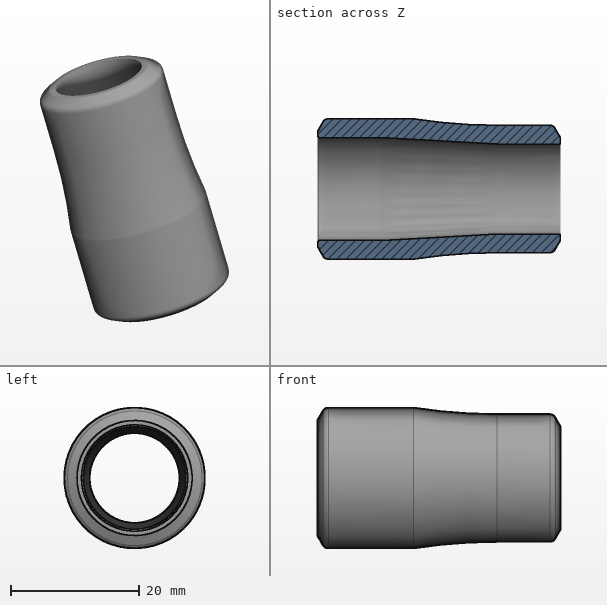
import cadquery as cq
import math

length = 38.0
large_radius = 22.0 / 2
small_radius = 20.0 / 2
large_bore_radius = 16.0 / 2
small_bore_radius = 14.0 / 2
neck_start = 15.0
neck_end = 28.0
bore_depth = 10.0
bore_taper_start = bore_depth
bore_taper_end = length - bore_depth
mouth_chamfer = 0.3
end_face_inset = 2.0
bevel_angle = math.radians(60)
edge_radius = 1.0

neck_length = neck_end - neck_start
neck_drop = large_radius - small_radius
neck_radius = (neck_length**2 + neck_drop**2) / (2 * neck_drop)
neck_half_angle = math.asin(neck_length / neck_radius) / 2
neck_middle = (
    neck_end - neck_radius * math.sin(neck_half_angle),
    small_radius + neck_radius * (1 - math.cos(neck_half_angle)),
)


def rounded_bevel(radius):
    """Return (distance from end, radius) points from the end face to the cylinder."""
    def on_rounding(angle):
        return radius - edge_radius * (1 - math.cos(angle))

    bevel_height = on_rounding(bevel_angle) - (radius - end_face_inset)
    bevel_length = bevel_height / math.tan(bevel_angle)
    rounding_end = bevel_length + edge_radius * math.sin(bevel_angle)
    half_angle = bevel_angle / 2
    return [
        (0, radius - end_face_inset),
        (bevel_length, on_rounding(bevel_angle)),
        (rounding_end - edge_radius * math.sin(half_angle), on_rounding(half_angle)),
        (rounding_end, radius),
    ]


left_face, left_bevel, left_middle, left_cylinder = rounded_bevel(large_radius)
right_face, right_bevel, right_middle, right_cylinder = [
    (length - distance, radius) for distance, radius in rounded_bevel(small_radius)
]

wall_section = (
    cq.Workplane("XY")
    .moveTo(*left_face)
    .lineTo(*left_bevel)
    .threePointArc(left_middle, left_cylinder)
    .lineTo(neck_start, large_radius)
    .threePointArc(neck_middle, (neck_end, small_radius))
    .lineTo(*right_cylinder)
    .threePointArc(right_middle, right_bevel)
    .lineTo(*right_face)
    .lineTo(length, small_bore_radius)
    .lineTo(bore_taper_end, small_bore_radius)
    .lineTo(bore_taper_start, large_bore_radius)
    .lineTo(mouth_chamfer, large_bore_radius)
    .lineTo(0, large_bore_radius + mouth_chamfer)
    .close()
)

result = wall_section.revolve(360, (0, 0, 0), (1, 0, 0))